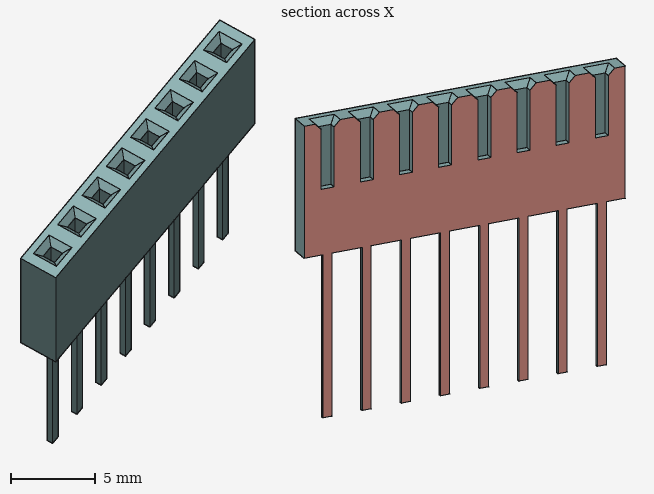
import cadquery as cq

housing_width = 2.5
housing_length = 20.87
overall_height = 19.0
pin_length = 10.48
housing_height = overall_height - pin_length

contact_count = 8
contact_pitch = 2.55

mouth_side = 1.63
bore_side = 0.81
funnel_depth = (mouth_side - bore_side) / 2
socket_depth = housing_height / 2

pin_thickness = 0.4
pin_width = 0.6


def make_housing():
    """Block standing on the plane Z = 0."""
    return cq.Workplane("XY").box(
        housing_width, housing_length, housing_height, centered=(True, True, False)
    )


def make_socket():
    """Cutting body of one socket: funnel at the top face, bore below it."""
    funnel = (
        cq.Workplane("XY", origin=(0, 0, housing_height))
        .rect(mouth_side, mouth_side)
        .workplane(offset=-funnel_depth)
        .rect(bore_side, bore_side)
        .loft(ruled=True)
    )
    bore = (
        cq.Workplane("XY", origin=(0, 0, housing_height - socket_depth))
        .rect(bore_side, bore_side)
        .extrude(socket_depth - funnel_depth)
    )
    return funnel.union(bore)


def make_pin():
    """Pin hanging down from the underside of the housing."""
    return cq.Workplane("XY").rect(pin_thickness, pin_width).extrude(-pin_length)


socket = make_socket()
pin = make_pin()
result = make_housing()
for index in range(contact_count):
    contact_y = (index - (contact_count - 1) / 2) * contact_pitch
    result = result.cut(socket.translate((0, contact_y, 0)))
    result = result.union(pin.translate((0, contact_y, 0)))